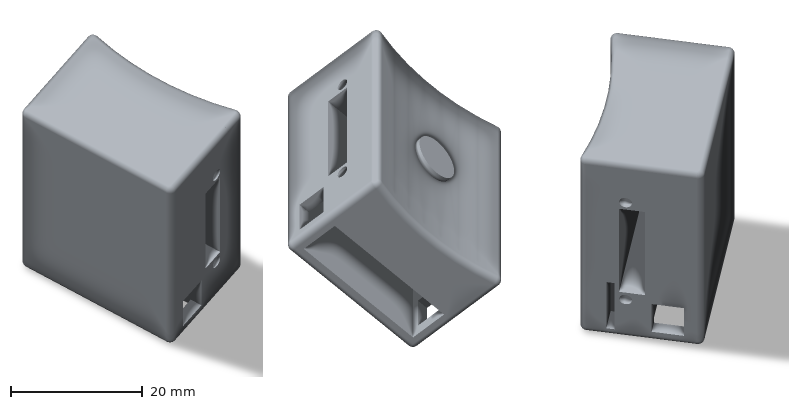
import cadquery as cq


width = 28.0
height = 37.5
edge_radius = 1.0
dish_radius = 50.0
dish_low_y = 17.48
stock_depth = 20.62

split_y = 15.0
wall = 2.0

slot_height = 18.0
slot_near_y = 9.0
slot_far_y = 13.0
screw_hole_diameter = 2.0
screw_hole_y = slot_far_y - screw_hole_diameter / 2
screw_hole_spacing = 21.0
window_near_y = 3.0
window_far_y = 8.0
window_bottom = 2.0
window_height = 6.0

compartment_partition = 0.5
compartment_far_y = slot_near_y - compartment_partition

notch_width = 1.28
notch_depth = 3.75
notch_bottom = 1.5
notch_height = 10.0

button_diameter = 7.6
button_top_y = 18.5

middle_z = height / 2


def block(x_range, y_range, z_range):
    """Box between two limits along each axis."""
    sizes = [high - low for low, high in (x_range, y_range, z_range)]
    corner = (x_range[0], y_range[0], z_range[0])
    return cq.Workplane("XY").box(*sizes, centered=False).translate(corner)


def across_width(y_range, z_range):
    """Box over the full width between two limits along Y and Z."""
    return block((-width / 2, width / 2), y_range, z_range)


def make_case_shape():
    """Solid outer form of the closed case, with the dish cut and all edges rounded."""
    stock = across_width((0, stock_depth), (0, height))
    dish = (
        cq.Workplane("XY")
        .center(0, dish_low_y + dish_radius)
        .circle(dish_radius)
        .extrude(height)
    )
    return stock.cut(dish).edges().fillet(edge_radius)


def make_screw_holes():
    """Two round cutters along X, above and below the slot."""
    centers = [(screw_hole_y, middle_z + side * screw_hole_spacing / 2) for side in (-1, 1)]
    return (
        cq.Workplane("YZ")
        .pushPoints(centers)
        .circle(screw_hole_diameter / 2)
        .extrude(width / 2, both=True)
    )


def make_button():
    """Round button standing on the housing, with its axis along Y."""
    outline = cq.Workplane("XZ", origin=(0, split_y, middle_z)).circle(button_diameter / 2)
    return outline.extrude(split_y - button_top_y)


def make_housing(case_shape):
    """Part of the case below the split, with the compartment and side openings."""
    side_x = -width / 2
    inner_x = width / 2 - wall
    slot = across_width(
        (slot_near_y, slot_far_y),
        (middle_z - slot_height / 2, middle_z + slot_height / 2),
    )
    window = across_width((window_near_y, window_far_y), (window_bottom, window_bottom + window_height))
    compartment = block((-inner_x, inner_x), (wall, compartment_far_y), (0, height - wall))
    notch = block(
        (side_x, side_x + notch_depth),
        (split_y - notch_width, split_y),
        (notch_bottom, notch_bottom + notch_height),
    )
    housing = case_shape.intersect(across_width((0, split_y), (0, height)))
    for opening in (slot, make_screw_holes(), window, compartment, notch):
        housing = housing.cut(opening)
    return housing


def make_cover(case_shape, button):
    """Dished part of the case above the split, with a hole that fits the button."""
    cover = case_shape.intersect(across_width((split_y, stock_depth), (0, height)))
    return cover.cut(button)


case_shape = make_case_shape()
button = make_button()
housing = make_housing(case_shape)
cover = make_cover(case_shape, button)

result = cq.Compound.makeCompound([body.solids().val() for body in (housing, cover, button)])